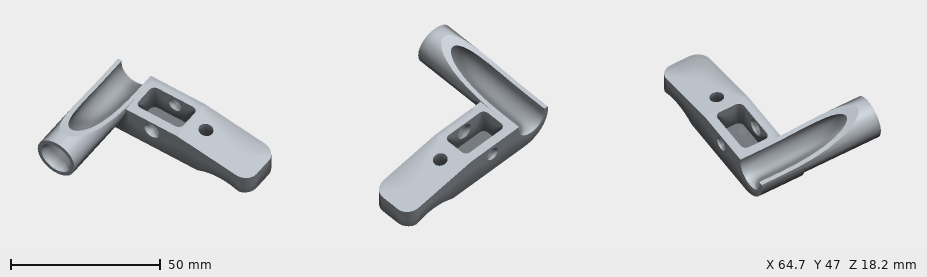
import cadquery as cq
import math

arm_length = 64.7
arm_width = 16.95
arm_height = 12.0
slope_start = 35.65
tip_height = 7.05
tip_corner_radius = 5.0

relief_start = 44.05
relief_end = 61.1
relief_height = 2.0

tube_diameter = 15.0
bore_diameter = 12.0
tube_length = 47.0
total_height = 18.2
tube_radius = tube_diameter / 2
tube_x = tube_radius
tube_z = total_height - tube_radius
heel_radius = 10.6

scoop_flat_end = arm_width / 2
scoop_run = 33.8

pocket_start = 16.55
pocket_length = 18.25
pocket_width = 10.35
pocket_corner_radius = 2.0
blind_floor = 2.0
cross_hole_x = 25.55
cross_hole_z = 8.0
front_hole_diameter = 6.1
back_hole_diameter = 5.0
top_hole_x = 41.65
top_hole_diameter = 5.0


def cylinder_along_y(diameter, x, z, y_start, y_end):
    """Cylinder parallel to Y between two Y positions."""
    axis_start = cq.Vector(x, y_start, z)
    return cq.Workplane(
        cq.Solid.makeCylinder(diameter / 2, y_end - y_start, axis_start, cq.Vector(0, 1, 0))
    )


def make_arm():
    """Side profile with a round heel just below the tube axis, sloped tip and arched underside."""
    relief_middle = (relief_start + relief_end) / 2
    heel_offset = heel_radius * (1 - math.sqrt(0.5))
    profile = (
        cq.Workplane("XZ")
        .moveTo(heel_radius, 0)
        .lineTo(relief_start, 0)
        .threePointArc((relief_middle, relief_height), (relief_end, 0))
        .lineTo(arm_length, 0)
        .lineTo(arm_length, tip_height)
        .lineTo(slope_start, arm_height)
        .lineTo(tube_x, arm_height)
        .lineTo(tube_x, tube_z)
        .lineTo(0, tube_z)
        .lineTo(0, heel_radius)
        .threePointArc((heel_offset, heel_offset), (heel_radius, 0))
        .close()
    )
    arm = profile.extrude(-arm_width)
    return arm.edges("|Z and >X").fillet(tip_corner_radius)


def make_scoop():
    """Cutter above the tube: flat over the back half of the arm, then curving up to the tube top."""
    rise = total_height - arm_height
    radius = (scoop_run**2 + rise**2) / (2 * rise)
    half_angle = math.asin(scoop_run / radius) / 2
    arc_middle = (
        scoop_flat_end - radius * math.sin(half_angle),
        arm_height + radius * (1 - math.cos(half_angle)),
    )
    return (
        cq.Workplane("YZ")
        .moveTo(arm_width, total_height)
        .lineTo(arm_width, arm_height)
        .lineTo(scoop_flat_end, arm_height)
        .threePointArc(arc_middle, (scoop_flat_end - scoop_run, total_height))
        .close()
        .extrude(tube_diameter)
    )


def make_pocket():
    """Blind rectangular pocket centred across the arm."""
    return (
        cq.Workplane("XY", origin=(pocket_start + pocket_length / 2, arm_width / 2, blind_floor))
        .rect(pocket_length, pocket_width)
        .extrude(arm_height - blind_floor)
        .edges("|Z")
        .fillet(pocket_corner_radius)
    )


def make_top_hole():
    """Blind vertical hole in the sloped face."""
    return (
        cq.Workplane("XY", origin=(top_hole_x, arm_width / 2, blind_floor))
        .circle(top_hole_diameter / 2)
        .extrude(arm_height - blind_floor)
    )


tube_front = arm_width - tube_length
tube = cylinder_along_y(tube_diameter, tube_x, tube_z, tube_front, arm_width)
bore = cylinder_along_y(bore_diameter, tube_x, tube_z, tube_front, arm_width)

front_hole = cylinder_along_y(front_hole_diameter, cross_hole_x, cross_hole_z, 0, arm_width / 2)
back_hole = cylinder_along_y(back_hole_diameter, cross_hole_x, cross_hole_z, arm_width / 2, arm_width)

result = make_arm().union(tube)
for cutter in (make_scoop(), bore, make_pocket(), make_top_hole(), front_hole, back_hole):
    result = result.cut(cutter)